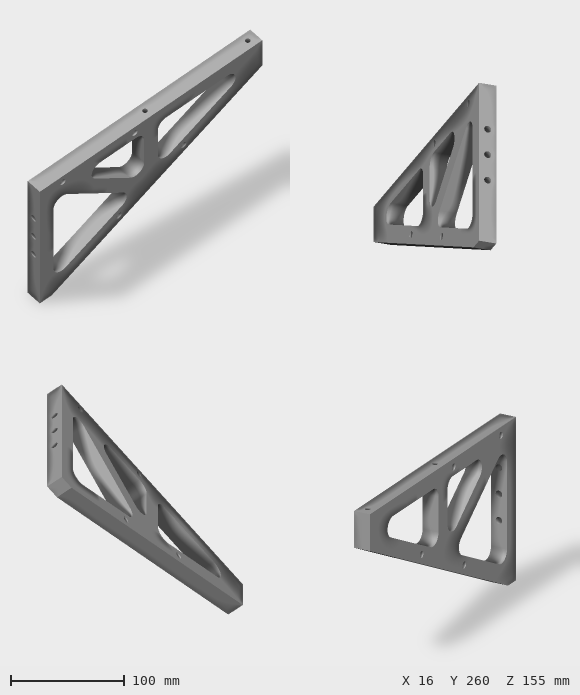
import cadquery as cq
import math

thickness = 16.0
length = 260.0
height = 155.0
rear_height = 34.8
foot_length = 14.0

rail_width = 16.0
web_width = 16.0
strut_width = 16.0
strut_slope = 0.78
strut_mid_y = 65.0
strut_mid_z = -44.5
window_radius = 10.0

cross_diameter = 6.5
top_rail_hole_ys = (26.8, 111.0)
bottom_rail_hole_ys = (92.3, 168.0)
front_diameter = 6.5
front_first_z = -44.2
front_spacing = 25.0
front_count = 3
top_diameter = 5.0
top_depth = 20.0
drill_tip_angle = 118.0
rear_hole_inset = 10.0

web_y = length / 2
web_front = web_y - web_width / 2
web_rear = web_y + web_width / 2
bottom_slope = (height - rear_height) / (length - foot_length)


def bottom_z(y, inset=0.0):
    """Height of the sloped underside at y, shifted inward by a perpendicular inset."""
    return -height + (y - foot_length) * bottom_slope + inset * math.hypot(1, bottom_slope)


def strut_z(y, offset):
    """Height of the strut centreline at y, shifted upward by a perpendicular offset."""
    return strut_mid_z - (y - strut_mid_y) * strut_slope + offset * math.hypot(1, strut_slope)


def strut_y(z, offset):
    """Inverse of strut_z."""
    return strut_mid_y + (strut_z(strut_mid_y, offset) - z) / strut_slope


def prism(points):
    """Extrude a (Y, Z) outline through the plate, centred on X = 0."""
    return cq.Workplane("YZ").polyline(points).close().extrude(thickness / 2, both=True)


def window(points):
    """Window cutter with rounded corners."""
    return prism(points).edges("|X").fillet(window_radius)


def rear_window():
    tip_y = foot_length + (-rail_width - bottom_z(foot_length, rail_width)) / bottom_slope
    return window([
        (web_rear, -rail_width),
        (tip_y, -rail_width),
        (web_rear, bottom_z(web_rear, rail_width)),
    ])


def middle_window():
    edge = strut_width / 2
    return window([
        (web_front, -rail_width),
        (web_front, strut_z(web_front, edge)),
        (strut_y(-rail_width, edge), -rail_width),
    ])


def front_window():
    edge = -strut_width / 2
    gap = strut_z(0, edge) - bottom_z(0, rail_width)
    tip_y = gap / (strut_slope + bottom_slope)
    return window([
        (rail_width, strut_z(rail_width, edge)),
        (tip_y, strut_z(tip_y, edge)),
        (rail_width, bottom_z(rail_width, rail_width)),
    ])


def cross_holes():
    """Holes through the thickness, on the centrelines of the top and bottom rails."""
    centers = [(y, -rail_width / 2) for y in top_rail_hole_ys]
    centers += [(y, bottom_z(y, rail_width / 2)) for y in bottom_rail_hole_ys]
    plane = cq.Workplane("YZ").pushPoints(centers)
    return plane.circle(cross_diameter / 2).extrude(thickness / 2, both=True)


def front_holes():
    """Holes through the front post, opening into the front window."""
    centers = [(0, front_first_z - i * front_spacing) for i in range(front_count)]
    plane = cq.Workplane("XZ").pushPoints(centers)
    return plane.circle(front_diameter / 2).extrude(-(rail_width + front_diameter))


def top_hole(y):
    """Blind drilled hole with a conical bottom, revolved about its vertical axis."""
    radius = top_diameter / 2
    tip_depth = radius / math.tan(math.radians(drill_tip_angle / 2))
    profile = cq.Workplane("XZ").polyline([
        (0, 0),
        (radius, 0),
        (radius, -top_depth),
        (0, -top_depth - tip_depth),
    ]).close()
    return profile.revolve(360, (0, 0), (0, 1)).translate((0, y, 0))


plate = prism([
    (0, 0),
    (length, 0),
    (length, -rear_height),
    (foot_length, -height),
    (0, -height),
])

result = plate.cut(rear_window()).cut(middle_window()).cut(front_window())
result = result.cut(cross_holes()).cut(front_holes())
for hole_y in (web_y, length - rear_hole_inset):
    result = result.cut(top_hole(hole_y))